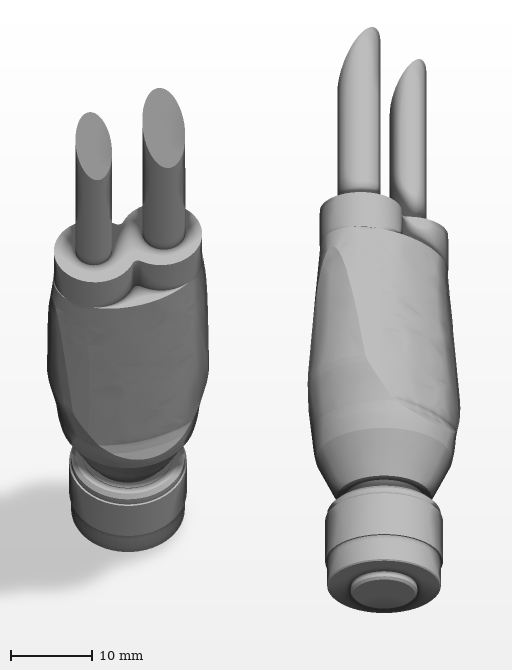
import cadquery as cq
import math

overall_height = 76.19
nut_bottom = 1.0
nut_step = 4.5
nut_shoulder = 10.2
nut_top = 11.65
grip_bottom = 13.4
bulge_start = 18.7
bulge_end = 21.05
bulge_line = 22.3
grip_widest = 27.4
grip_taper_start = 28.3
grip_top = 46.85
collar_top = 51.65

plug_diameter = 8.2
plug_chamfer = 0.3
nut_lower_diameter = 14.0
nut_diameter = 14.5
nut_bottom_chamfer = 0.15
nut_top_chamfer = 0.5
nut_rim_diameter = 11.3
nut_rim_height = 0.1
neck_diameter = 9.6

grip_bottom_radius = 5.85
bulge_start_radius = 8.4
bulge_mid_height = 20.3
bulge_mid_radius = 8.7
bulge_end_radius = 8.78
bulge_line_radius = 8.9
grip_widest_radius = 9.9
grip_taper_radius = 10.0
grip_top_radius = 9.72

side_top_x = 6.2
side_top_y = 9.5
side_foot_height = 22.8
side_foot_x = 7.65
side_foot_y = 12.15
flare_mid_height = 21.65
flare_mid_growth = 0.45
flare_end_height = 20.3
flare_end_growth = 1.15

flat_angle = 31.5
flat_apex_height = 41.2
flat_apex_offset = 7.69
flat_low_offset = 8.69
flat_cutter_size = 20.0

lobe_diameter = 10.11
lobe_spacing = 8.6
waist_fillet = 0.7
cables = [(5.3, 4.65), (4.5, -4.45)]
cable_cut_angle = 60.0


def make_connector():
    """Plug, coupling nut with its low top rim, and neck, stacked along Z."""
    plug = cq.Workplane("XY").circle(plug_diameter / 2).extrude(nut_step)
    plug = plug.faces("<Z").chamfer(plug_chamfer)
    lower = (
        cq.Workplane("XY", origin=(0, 0, nut_bottom))
        .circle(nut_lower_diameter / 2)
        .extrude(nut_top - nut_bottom)
        .faces("<Z").chamfer(nut_bottom_chamfer)
        .faces(">Z").chamfer(nut_top_chamfer)
    )
    sleeve = (
        cq.Workplane("XY", origin=(0, 0, nut_step))
        .circle(nut_diameter / 2)
        .extrude(nut_shoulder - nut_step)
    )
    rim = (
        cq.Workplane("XY", origin=(0, 0, nut_top))
        .circle(nut_rim_diameter / 2)
        .extrude(nut_rim_height)
    )
    neck = (
        cq.Workplane("XY", origin=(0, 0, nut_shoulder))
        .circle(neck_diameter / 2)
        .extrude(bulge_start - nut_shoulder)
    )
    return plug.union(lower).union(sleeve).union(rim).union(neck)


def make_round_envelope():
    """Turned outer shape of the grip."""
    return (
        cq.Workplane("XZ")
        .moveTo(0, grip_bottom)
        .lineTo(grip_bottom_radius, grip_bottom)
        .lineTo(bulge_start_radius, bulge_start)
        .threePointArc((bulge_mid_radius, bulge_mid_height), (bulge_end_radius, bulge_end))
        .lineTo(bulge_line_radius, bulge_line)
        .lineTo(grip_widest_radius, grip_widest)
        .lineTo(grip_taper_radius, grip_taper_start)
        .lineTo(grip_top_radius, grip_top)
        .lineTo(0, grip_top)
        .close()
        .revolve(360, (0, 0, 0), (0, 1, 0))
    )


def ellipse_loft(low, high):
    """Straight-sided loft between two ellipses given as (height, half X, half Y)."""
    low_z, low_x, low_y = low
    high_z, high_x, high_y = high
    return (
        cq.Workplane("XY", origin=(0, 0, low_z))
        .ellipse(low_x, low_y)
        .workplane(offset=high_z - low_z)
        .ellipse(high_x, high_y)
        .loft(ruled=True)
    )


def make_side_envelope():
    """Elliptical sides that flare out at the foot, standing on a plain round base."""
    flare_end_x = side_foot_x + flare_end_growth
    flare_end_y = side_foot_y + flare_end_growth
    flare_end = (flare_end_height, flare_end_x, flare_end_y)
    flare_mid = (flare_mid_height, side_foot_x + flare_mid_growth, side_foot_y + flare_mid_growth)
    foot = (side_foot_height, side_foot_x, side_foot_y)
    top = (grip_top, side_top_x, side_top_y)
    base = (
        cq.Workplane("XY", origin=(0, 0, grip_bottom))
        .ellipse(flare_end_x, flare_end_y)
        .extrude(flare_end_height - grip_bottom)
    )
    return (
        base.union(ellipse_loft(flare_end, flare_mid))
        .union(ellipse_loft(flare_mid, foot))
        .union(ellipse_loft(foot, top))
    )


def make_corner_flat(side_x, side_y):
    """Cutter for the leaning flat on one corner of the grip."""
    rise = flat_apex_height - grip_widest
    slope = (flat_apex_offset - flat_low_offset) / rise
    low_offset = flat_low_offset + slope * (side_foot_height - grip_widest)
    top_offset = flat_low_offset + slope * (grip_top - grip_widest)
    cutter = (
        cq.Workplane("XZ", origin=(0, flat_cutter_size / 2, 0))
        .moveTo(low_offset, side_foot_height)
        .lineTo(flat_cutter_size, side_foot_height)
        .lineTo(flat_cutter_size, grip_top)
        .lineTo(top_offset, grip_top)
        .close()
        .extrude(flat_cutter_size)
        .rotate((0, 0, 0), (0, 0, 1), flat_angle)
    )
    if side_x < 0:
        cutter = cutter.mirror("YZ")
    if side_y < 0:
        cutter = cutter.mirror("XZ")
    return cutter


def make_grip():
    """Round envelope trimmed by the elliptical sides and the four corner flats."""
    grip = make_round_envelope().intersect(make_side_envelope())
    for side_x in (-1, 1):
        for side_y in (-1, 1):
            grip = grip.cut(make_corner_flat(side_x, side_y))
    return grip


def make_collar():
    """Figure-eight collar: two round lobes joined by a rounded waist."""
    lobe_radius = lobe_diameter / 2
    lobe_y = lobe_spacing / 2
    reach = lobe_radius + waist_fillet
    waist_x = math.sqrt(reach**2 - lobe_y**2)
    waist_inner_x = waist_x - waist_fillet
    join_x = waist_x * lobe_radius / reach
    join_y = lobe_y - lobe_y * lobe_radius / reach
    return (
        cq.Workplane("XY", origin=(0, 0, grip_top))
        .moveTo(join_x, join_y)
        .threePointArc((0, lobe_y + lobe_radius), (-join_x, join_y))
        .threePointArc((-waist_inner_x, 0), (-join_x, -join_y))
        .threePointArc((0, -lobe_y - lobe_radius), (join_x, -join_y))
        .threePointArc((waist_inner_x, 0), (join_x, join_y))
        .close()
        .extrude(collar_top - grip_top)
    )


def make_cables():
    """Two cables trimmed by one slanted plane that is highest at -X."""
    tip_x = max(diameter for diameter, _ in cables) / 2
    trim_drop = 2 * tip_x * math.tan(math.radians(cable_cut_angle))
    keep_depth = lobe_spacing + lobe_diameter
    keep = (
        cq.Workplane("XZ", origin=(0, keep_depth / 2, 0))
        .moveTo(-tip_x, grip_top)
        .lineTo(tip_x, grip_top)
        .lineTo(tip_x, overall_height - trim_drop)
        .lineTo(-tip_x, overall_height)
        .close()
        .extrude(keep_depth)
    )
    pair = cq.Workplane("XY")
    for diameter, y in cables:
        cable = (
            cq.Workplane("XY", origin=(0, y, grip_top))
            .circle(diameter / 2)
            .extrude(overall_height - grip_top)
        )
        pair = pair.union(cable.intersect(keep))
    return pair


result = make_connector().union(make_grip()).union(make_collar()).union(make_cables())